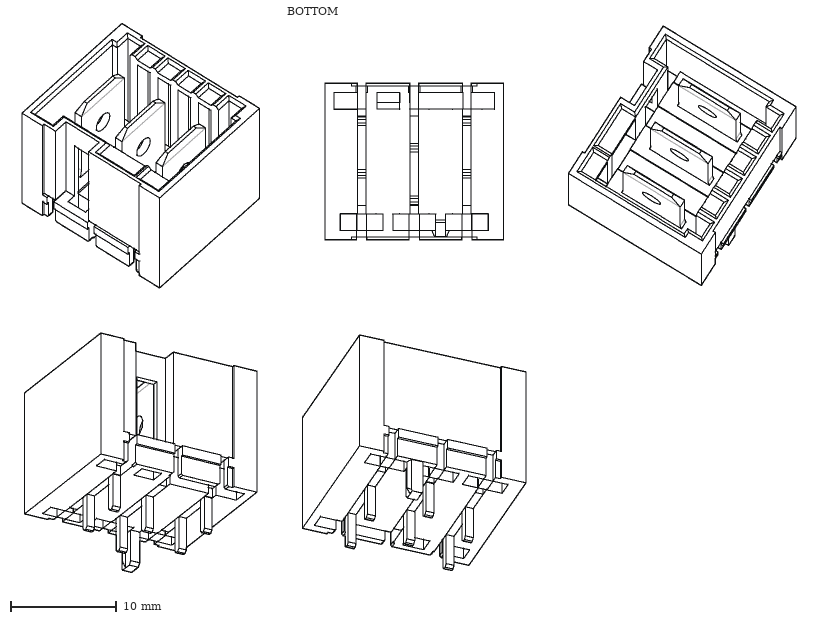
import cadquery as cq


LENGTH = 17.0
DEPTH = 14.9
HEIGHT = 12.8
PIN_LENGTH = 3.6

BLADE_PITCH = 5.0
BLADE_XS = [-BLADE_PITCH, 0.0, BLADE_PITCH]
POCKET_PITCH = BLADE_PITCH / 2
POCKET_COUNT = 6

CAVITY_X = 7.62
CAVITY_Y = 4.98
POCKET_Y = 6.55
LEAD_IN = 0.3
LEDGE_WIDTH = 1.67
POCKET_WIDTH = 1.55
WEB_THICKNESS = 0.7
WEB_TOP = HEIGHT - LEAD_IN
WEB_BOTTOM = WEB_TOP - WEB_THICKNESS

FLOOR_TOP = 3.0
FLOOR_LOW = 2.7
FLOOR_GROOVES = [(-CAVITY_X, -6.35), (-3.62, -1.4), (1.4, 3.62), (6.46, CAVITY_X)]
CHANNEL_HEIGHT = 0.99

PANEL_Y = 7.19
PANEL_X = 5.98
BAND_BOTTOM = 2.0
FRONT_NOTCH_WIDTH = 0.82
REAR_NOTCH_WIDTH = 0.95
NOTCH_CHAMFER = 0.15

LATCH_BLOCK = (-5.4, 0.39)
LATCH_RECESS = (-4.55, -0.46)
LATCH_RECESS_Y = -5.63
WINDOW = (-3.54, -1.4)
WINDOW_TOP = 10.1
FRONT_RIB = (4.62, 5.4)

BLADE_THICKNESS = 0.8
BLADE_Y = -0.07
BLADE_HALF_LENGTH = 3.21
BLADE_SHOULDER = 11.5
BLADE_TOP = 12.29
RIDGE_LENGTH = 4.22
RIDGE_THICKNESS = 0.35
FLARE_HALF_LENGTH = 3.37
FLARE_TOP = 3.88
BLADE_HOLE_DIAMETER = 2.0
BLADE_HOLE_Z = 7.99
BASE_HALF_LENGTH = 4.25
PIN_WIDTH = 0.82
PIN_CHAMFER = 0.25
OUTER_PIN_ROWS = (-1.5, 0.5)
MIDDLE_PIN_ROWS = (-0.5, 1.5)

PEG_X = POCKET_PITCH
PEG_STEM_FRONT = 5.55
PEG_BACK = 7.12
PEG_STEM_X = 0.5
PEG_HEAD_X = 0.83
PEG_BACK_X = 0.58
PEG_TIP_HEIGHT = 0.63
PEG_FRONT_CHAMFER = (0.27, 0.35)


def block(x, y, z):
    """Box given by its (low, high) range along each axis."""
    size = [high - low for low, high in (x, y, z)]
    return cq.Workplane("XY").box(*size, centered=False).translate((x[0], y[0], z[0]))


def centred(middle, width):
    """Range of the given width about a middle value."""
    return (middle - width / 2, middle + width / 2)


def lead_in(x, y):
    """Funnel under the top face that opens outwards by LEAD_IN on all sides."""
    width = x[1] - x[0]
    depth = y[1] - y[0]
    return (
        cq.Workplane("XY", origin=(sum(x) / 2, sum(y) / 2, WEB_TOP))
        .rect(width, depth)
        .workplane(offset=LEAD_IN)
        .rect(width + 2 * LEAD_IN, depth + 2 * LEAD_IN)
        .loft()
    )


def pocket(body, x, y, webbed):
    """Vertical pocket with a lead-in, optionally closed by a web below the lead-in."""
    body = body.cut(block(x, y, (0, WEB_BOTTOM if webbed else HEIGHT)))
    return body.cut(lead_in(x, y))


def cut_well(body):
    """Central well with a stepped floor."""
    side = (-CAVITY_Y, CAVITY_Y)
    body = body.cut(block((-CAVITY_X, CAVITY_X), side, (FLOOR_TOP, HEIGHT)))
    for low, high in FLOOR_GROOVES:
        body = body.cut(block((low, high), side, (FLOOR_LOW, HEIGHT)))
    for edges in ((-CAVITY_X, LEDGE_WIDTH - CAVITY_X), (CAVITY_X - LEDGE_WIDTH, CAVITY_X)):
        body = body.cut(lead_in(edges, side))
    return body.cut(lead_in(LATCH_BLOCK, (-CAVITY_Y, 0)))


def cut_pockets(body):
    """Row of six rear pockets and three front pockets; the outer rear and left front ones are open."""
    for index in range(POCKET_COUNT):
        middle = (index - (POCKET_COUNT - 1) / 2) * POCKET_PITCH
        webbed = 0 < index < POCKET_COUNT - 1
        body = pocket(body, centred(middle, POCKET_WIDTH), (CAVITY_Y, POCKET_Y), webbed)
    front = (-POCKET_Y, -CAVITY_Y)
    body = pocket(body, (-CAVITY_X, LATCH_BLOCK[0]), front, False)
    body = pocket(body, (LATCH_BLOCK[1], FRONT_RIB[0]), front, True)
    return pocket(body, (FRONT_RIB[1], CAVITY_X), front, True)


def cut_wall_faces(body):
    """Recessed panels above and below a raised band on the front and rear walls."""
    half = DEPTH / 2
    for y in ((-half, -PANEL_Y), (PANEL_Y, half)):
        for z in ((0, BAND_BOTTOM), (FLOOR_TOP, HEIGHT)):
            body = body.cut(block((-PANEL_X, PANEL_X), y, z))
    return body


def cut_notches(body):
    """Wall notches in line with the blades and the channels under the floor."""
    half = DEPTH / 2
    for x in BLADE_XS:
        notch = centred(x, FRONT_NOTCH_WIDTH)
        body = body.cut(block(notch, (-half, -CAVITY_Y), (0, FLOOR_TOP)))
        body = body.cut(block(notch, (-CAVITY_Y, CAVITY_Y), (0, CHANNEL_HEIGHT)))
        body = body.cut(block(centred(x, REAR_NOTCH_WIDTH), (POCKET_Y, half), (0, FLOOR_TOP)))
        mouth = FRONT_NOTCH_WIDTH / 2
        flare = (
            cq.Workplane("XZ", origin=(x, -POCKET_Y, 0))
            .polyline([
                (-mouth - NOTCH_CHAMFER, 0),
                (mouth + NOTCH_CHAMFER, 0),
                (mouth, NOTCH_CHAMFER),
                (-mouth, NOTCH_CHAMFER),
            ])
            .close()
            .extrude(half - POCKET_Y)
        )
        body = body.cut(flare)
    return body


def cut_latch(body):
    """Open-topped latch recess, its window into the well and the drop hole in its floor."""
    body = body.cut(block(LATCH_RECESS, (-PANEL_Y, LATCH_RECESS_Y), (FLOOR_TOP, HEIGHT)))
    body = body.cut(block(WINDOW, (LATCH_RECESS_Y, -CAVITY_Y), (FLOOR_TOP, WINDOW_TOP)))
    return body.cut(block(WINDOW, (-POCKET_Y, -CAVITY_Y), (0, FLOOR_TOP)))


def blade(x):
    """Flat blade with a bevelled top, flared foot, cross hole and a base bar in the floor channel."""
    outline = [
        (-FLARE_HALF_LENGTH, CHANNEL_HEIGHT),
        (FLARE_HALF_LENGTH, CHANNEL_HEIGHT),
        (FLARE_HALF_LENGTH, FLOOR_TOP),
        (BLADE_HALF_LENGTH, FLARE_TOP),
        (BLADE_HALF_LENGTH, BLADE_SHOULDER),
        (-BLADE_HALF_LENGTH, BLADE_SHOULDER),
        (-BLADE_HALF_LENGTH, FLARE_TOP),
        (-FLARE_HALF_LENGTH, FLOOR_TOP),
    ]
    plane = cq.Workplane("YZ", origin=(x, BLADE_Y, 0))
    plate = plane.polyline(outline).close().extrude(BLADE_THICKNESS / 2, both=True)
    bevel = (
        cq.Workplane("XY", origin=(x, BLADE_Y, BLADE_SHOULDER))
        .rect(BLADE_THICKNESS, 2 * BLADE_HALF_LENGTH)
        .workplane(offset=BLADE_TOP - BLADE_SHOULDER)
        .rect(RIDGE_THICKNESS, RIDGE_LENGTH)
        .loft()
    )
    hole = plane.center(0, BLADE_HOLE_Z).circle(BLADE_HOLE_DIAMETER / 2).extrude(BLADE_THICKNESS, both=True)
    base = block(centred(x, BLADE_THICKNESS), centred(BLADE_Y, 2 * BASE_HALF_LENGTH), (0, CHANNEL_HEIGHT))
    return plate.union(bevel).cut(hole).union(base)


def pin(x, y):
    """Square solder pin with a tip chamfered on its front and rear sides."""
    body = block(centred(x, PIN_WIDTH), centred(y, PIN_WIDTH), (-PIN_LENGTH, 0))
    return body.faces("<Z").edges("|X").chamfer(PIN_CHAMFER)


def peg():
    """Keying peg: a straight stem in front of a wider head that narrows to the rear, with a tapered tip."""
    outline = [
        (-PEG_STEM_X, PEG_STEM_FRONT),
        (PEG_STEM_X, PEG_STEM_FRONT),
        (PEG_STEM_X, POCKET_Y),
        (PEG_HEAD_X, POCKET_Y),
        (PEG_BACK_X, PEG_BACK),
        (-PEG_BACK_X, PEG_BACK),
        (-PEG_HEAD_X, POCKET_Y),
        (-PEG_STEM_X, POCKET_Y),
    ]
    body = cq.Workplane("XY").polyline(outline).close().extrude(-PIN_LENGTH)
    side_profile = [
        (-PEG_HEAD_X, 0),
        (PEG_HEAD_X, 0),
        (PEG_HEAD_X, PEG_TIP_HEIGHT - PIN_LENGTH),
        (PEG_STEM_X, -PIN_LENGTH),
        (-PEG_STEM_X, -PIN_LENGTH),
        (-PEG_HEAD_X, PEG_TIP_HEIGHT - PIN_LENGTH),
    ]
    body = body.intersect(cq.Workplane("XZ").polyline(side_profile).close().extrude(-DEPTH))
    run, rise = PEG_FRONT_CHAMFER
    corner = [
        (PEG_STEM_FRONT, -PIN_LENGTH),
        (PEG_STEM_FRONT + run, -PIN_LENGTH),
        (PEG_STEM_FRONT, rise - PIN_LENGTH),
    ]
    body = body.cut(cq.Workplane("YZ").polyline(corner).close().extrude(PEG_HEAD_X, both=True))
    return body.translate((PEG_X, 0, 0))


result = block(centred(0, LENGTH), centred(0, DEPTH), (0, HEIGHT))
for cut_feature in (cut_well, cut_pockets, cut_wall_faces, cut_latch, cut_notches):
    result = cut_feature(result)

for blade_x in BLADE_XS:
    result = result.union(blade(blade_x))
    rows = OUTER_PIN_ROWS if blade_x else MIDDLE_PIN_ROWS
    for row in rows:
        result = result.union(pin(blade_x, BLADE_Y + row * POCKET_PITCH))

result = result.union(peg())